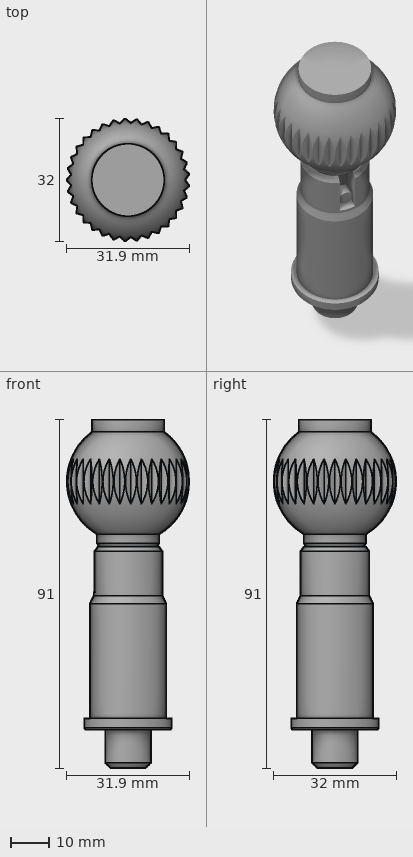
import cadquery as cq
import math

TOTAL_HEIGHT = 91.0
ROD_RADIUS = 6.0
ROD_TIP_CHAMFER = 1.5
STEM_RADIUS = 4.55

FLANGE_BOTTOM = 10.0
FLANGE_TOP = 13.0
FLANGE_RADIUS = 11.5
FLANGE_CHAMFER_RADIAL = 0.4
FLANGE_CHAMFER_HEIGHT = 0.55
BARREL_RADIUS = 10.0
BARREL_TOP = 42.95
BORE_STEP = BARREL_TOP
NECK_BOTTOM = 45.0
NECK_RADIUS = 9.0
NECK_CHAMFER_RADIAL = 0.9
NECK_CHAMFER_HEIGHT = 1.3
HOUSING_TOP = 57.9

SLOT_WIDTH = 4.2
SLOT_BOTTOM = 46.0
CROSS_PIN_RADIUS = 2.0
CROSS_PIN_HEIGHT = 48.6
CROSS_PIN_REACH = 7.5

BALL_RADIUS = 16.0
BALL_CENTRE = 74.9
BOSS_RADIUS = 9.5
COLLAR_RADIUS = 8.2
COLLAR_CHAMFER_RADIAL = 0.6
COLLAR_CHAMFER_HEIGHT = 0.9

GROOVE_COUNT = 33
GROOVE_WIDTH = 2.8
GROOVE_DEPTH = 1.1
TOOL_CLEARANCE = 0.9


def ball_height_at(radius):
    """Height above the ball's centre where the ball has the given radius."""
    return math.sqrt(BALL_RADIUS**2 - radius**2)


def make_housing():
    outline = [
        (ROD_RADIUS, FLANGE_BOTTOM),
        (FLANGE_RADIUS - FLANGE_CHAMFER_RADIAL, FLANGE_BOTTOM),
        (FLANGE_RADIUS, FLANGE_BOTTOM + FLANGE_CHAMFER_HEIGHT),
        (FLANGE_RADIUS, FLANGE_TOP),
        (BARREL_RADIUS, FLANGE_TOP),
        (BARREL_RADIUS, BARREL_TOP),
        (NECK_RADIUS, NECK_BOTTOM),
        (NECK_RADIUS, HOUSING_TOP - NECK_CHAMFER_HEIGHT),
        (NECK_RADIUS - NECK_CHAMFER_RADIAL, HOUSING_TOP),
        (STEM_RADIUS, HOUSING_TOP),
        (STEM_RADIUS, BORE_STEP),
        (ROD_RADIUS, BORE_STEP),
    ]
    sleeve = cq.Workplane("XZ").polyline(outline).close().revolve(360, (0, 0), (0, 1))
    slot = cq.Workplane("XY").box(
        BARREL_RADIUS, SLOT_WIDTH, HOUSING_TOP - SLOT_BOTTOM, centered=(False, True, False)
    )
    return sleeve.cut(slot.translate((-BARREL_RADIUS, 0, SLOT_BOTTOM)))


def make_groove():
    """V-shaped cutter along Z, centred on the +X side of the ball."""
    valley = BALL_RADIUS - GROOVE_DEPTH
    half_width = GROOVE_WIDTH / 2
    rim = math.sqrt(BALL_RADIUS**2 - half_width**2)
    cutter_outer = BALL_RADIUS + TOOL_CLEARANCE
    outer_half_width = half_width * (cutter_outer - valley) / (rim - valley)
    return (
        cq.Workplane("XY", origin=(0, 0, BALL_CENTRE))
        .polyline([(valley, 0), (cutter_outer, outer_half_width), (cutter_outer, -outer_half_width)])
        .close()
        .extrude(BALL_RADIUS / 2, both=True)
    )


def make_plunger():
    ball_bottom = BALL_CENTRE - ball_height_at(COLLAR_RADIUS)
    ball_top = BALL_CENTRE + ball_height_at(BOSS_RADIUS)
    plunger = (
        cq.Workplane("XZ")
        .lineTo(ROD_RADIUS - ROD_TIP_CHAMFER, 0)
        .lineTo(ROD_RADIUS, ROD_TIP_CHAMFER)
        .lineTo(ROD_RADIUS, BORE_STEP)
        .lineTo(STEM_RADIUS, BORE_STEP)
        .lineTo(STEM_RADIUS, HOUSING_TOP)
        .lineTo(COLLAR_RADIUS - COLLAR_CHAMFER_RADIAL, HOUSING_TOP)
        .lineTo(COLLAR_RADIUS, HOUSING_TOP + COLLAR_CHAMFER_HEIGHT)
        .lineTo(COLLAR_RADIUS, ball_bottom)
        .threePointArc((BALL_RADIUS, BALL_CENTRE), (BOSS_RADIUS, ball_top))
        .lineTo(BOSS_RADIUS, TOTAL_HEIGHT)
        .lineTo(0, TOTAL_HEIGHT)
        .close()
        .revolve(360, (0, 0), (0, 1))
    )
    cross_pin = (
        cq.Workplane("YZ", origin=(0, 0, CROSS_PIN_HEIGHT))
        .circle(CROSS_PIN_RADIUS)
        .extrude(-CROSS_PIN_REACH)
    )
    plunger = plunger.union(cross_pin)

    groove = make_groove()
    for index in range(GROOVE_COUNT):
        angle = index * 360 / GROOVE_COUNT
        plunger = plunger.cut(groove.rotate((0, 0, 0), (0, 0, 1), angle))
    return plunger


housing = make_housing()
plunger = make_plunger()

result = cq.Compound.makeCompound([housing.solids().val(), plunger.solids().val()])